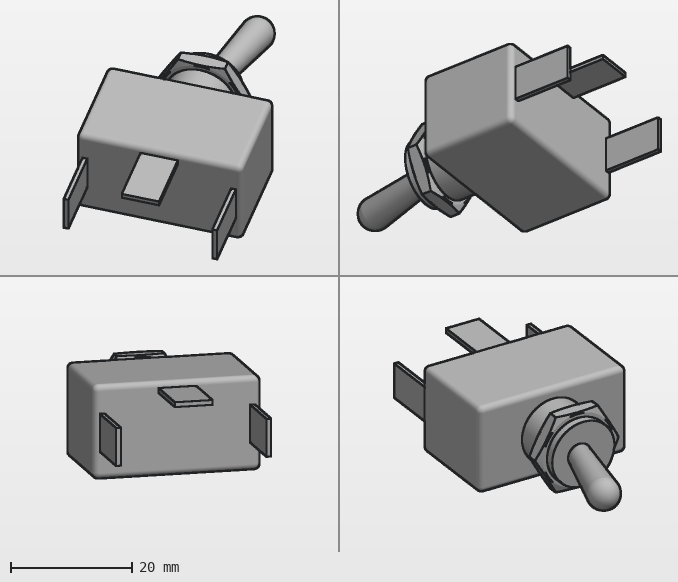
import cadquery as cq
import math

overall_length = 54.45

body_width = 28.5
body_length = 18.0
body_height = 16.0
edge_radius = 1.05

terminal_width = 6.4
terminal_thickness = 0.8
terminal_length = 10.55

bushing_diameter = 12.05
bushing_length = 9.5
nut_across_flats = 14.05
nut_thickness = 2.6
nut_start = 5.3
nut_face_radius = 6.75
nut_corner_drop = 0.45

lever_tilt = 15.0
pivot_depth = 2.7
lever_base_radius = 1.95
lever_tip_radius = 2.9


def make_body():
    block = cq.Workplane("XY").box(body_width, body_length, body_height)
    return block.edges().fillet(edge_radius).translate((0, -body_length / 2, 0))


def make_terminal(x, z, size_x, size_z):
    """Flat blade projecting from the back of the body, centred at x, z."""
    blade = cq.Workplane("XY").box(size_x, terminal_length, size_z)
    return blade.translate((x, -body_length - terminal_length / 2, z))


def make_bushing():
    return cq.Workplane("XZ").circle(bushing_diameter / 2).extrude(-bushing_length)


def make_nut():
    """Hexagonal prism with its corners turned to a shallow cone at both ends."""
    corner_radius = nut_across_flats / math.sqrt(3)
    nut_end = nut_start + nut_thickness
    hexagon = (
        cq.Workplane("XZ", origin=(0, nut_start, 0))
        .polygon(6, 2 * corner_radius)
        .extrude(-nut_thickness)
    )
    turned_blank = (
        cq.Workplane("XY")
        .moveTo(0, nut_start)
        .lineTo(nut_face_radius, nut_start)
        .lineTo(corner_radius, nut_start + nut_corner_drop)
        .lineTo(corner_radius, nut_end - nut_corner_drop)
        .lineTo(nut_face_radius, nut_end)
        .lineTo(0, nut_end)
        .close()
        .revolve(360, (0, 0, 0), (0, 1, 0))
    )
    return hexagon.intersect(turned_blank)


def make_lever():
    """Cone from the pivot inside the bushing to a hemispherical tip."""
    pivot_y = bushing_length - pivot_depth
    tip_end = overall_length - terminal_length - body_length
    ball_center_y = tip_end - lever_tip_radius
    shaft_length = (ball_center_y - pivot_y) / math.cos(math.radians(lever_tilt))
    lever = (
        cq.Workplane("XY")
        .lineTo(lever_base_radius, 0)
        .lineTo(lever_tip_radius, shaft_length)
        .radiusArc((0, shaft_length + lever_tip_radius), -lever_tip_radius)
        .close()
        .revolve(360, (0, 0, 0), (0, 1, 0))
    )
    return lever.rotate((0, 0, 0), (0, 0, 1), -lever_tilt).translate((0, pivot_y, 0))


result = make_body().union(make_bushing()).union(make_nut()).union(make_lever())

side_terminal_x = body_width / 2 - edge_radius - terminal_thickness / 2
for side in (-1, 1):
    result = result.union(make_terminal(side * side_terminal_x, 0, terminal_thickness, terminal_width))

top_terminal_z = body_height / 2 - edge_radius - terminal_thickness / 2
result = result.union(make_terminal(0, top_terminal_z, terminal_width, terminal_thickness))